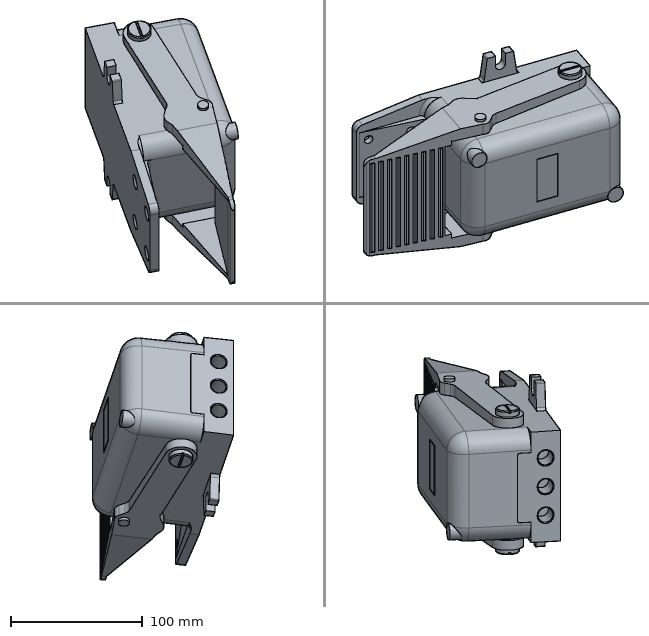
import cadquery as cq
import math


BODY_LENGTH = 133.8
BODY_HEIGHT = 85.0
BODY_END_SETBACK = 0.2
HALF_WIDTH_BOTTOM = 43.9
HALF_WIDTH_TOP = 43.0
CORNER_RADIUS = 14.0
BASE_HEIGHT = 22.9
BASE_LENGTH = BODY_LENGTH - CORNER_RADIUS
TOP_PAD_LENGTH = 17.5
TOP_PAD_WIDTH = 39.0
TOP_PAD_CENTER_X = 67.2
TOP_PAD_HEIGHT = 0.5

PATCH_TOP = 33.2
PATCH_HALF_WIDTH = 27.5
PATCH_CORNER_RADIUS = 1.7
PORT_DIAMETER = 11.5
PORT_RIM_DIAMETER = 13.0
PORT_DEPTH = 16.8
PORT_HEIGHT = 11.5
PORT_PITCH = 22.7

BOSS_DIAMETER = 13.0
BOSS_INSET_X = 9.2
BOSS_OFFSET_Z = 33.8
BOSS_BOTTOM = 67.2

PLATE_THICKNESS = 7.1
TAIL_END_X = 190.0
TAIL_END_HALF_WIDTH = 35.7
TAIL_CORNER_RADIUS = 6.3
RAMP_START_HEIGHT = 12.8
RAMP_END_X = 187.5
RAMP_HALF_WIDTH = HALF_WIDTH_BOTTOM - CORNER_RADIUS
FOOT_FILLET = 3.0
TAIL_HOLE_XS = (146.0, 180.0)
TAIL_HOLE_Z = 21.8
TAIL_HOLE_DIAMETER = 6.7
TAIL_SINK_DIAMETER = 11.5

EAR_CENTER_X = 68.0
EAR_TIP_Z = 65.0
EAR_ROOT_Z = 43.7
EAR_ROOT_HALF_LENGTH = 14.0
EAR_FOOT_HALF_LENGTH = 21
EAR_TIP_HALF_LENGTH = 11.1
EAR_ROOT_FILLET = 2.7
EAR_TIP_FILLET = 0.8
SLOT_WIDTH = 8.5
SLOT_BOTTOM_Z = 51.7

HANDLE_TIP_X = 210
PIVOT_X = 23.5
PIVOT_Y = 36.1
PIVOT_RADIUS = 12.2
ARM_ANGLE = math.radians(9.3)
ARM_INNER_Z = 44.5
ARM_OUTER_Z_PIVOT = 52.0
ARM_OUTER_Z_BEND = 54.4
BEND_X = 132.0
TAPER_END_X = 200.8
UPPER_RUN_END_X = 98.5
LOWER_RUN_END_X = 102.0
COVER_POINT_X = 131.2
COVER_POINT_Y = 68.0
COVER_SLOPE = -0.086
TIP_TOP_START_X = 205.8
TIP_BOTTOM_Y = 58.2
TIP_BOTTOM_START_X = 200.3
TIP_CORNER_RADIUS = 6.3
COVER_START_X = 144.5
COVER_THICKNESS = 3.8
COVER_UNDERSIDE_END_X = 201.4
WALL_START_X = 139.2
WALL_INNER_Z = 41.0

RIDGE_COUNT = 9
RIDGE_START_X = 146.5
RIDGE_PITCH = 7.0
RIDGE_LENGTH = 3.4
RIDGE_CREST_LENGTH = 2
RIDGE_HEIGHT = 0.8

SCREW_DIAMETER = 18.0
SCREW_TOP_Z = 57.0
SCREW_CHAMFER = 0.8
SCREW_SLOT_WIDTH = 1.5
SCREW_SLOT_DEPTH = 1.7
PIN_X = 112.5
PIN_Y = 62.4
PIN_DIAMETER = 8.5
PIN_TOP_Z = 56.3
PIN_COLLAR_DIAMETER = 9.5
ANCHOR_Z = 42


def cover_y(x):
    """Height of the sloping cover surface at x."""
    return COVER_POINT_Y + COVER_SLOPE * (x - COVER_POINT_X)


def plan(workplane_y=0):
    """Workplane with local coordinates (X, Z); its normal points toward -Y."""
    return cq.Workplane(cq.Plane((0, workplane_y, 0), xDir=(1, 0, 0), normal=(0, -1, 0)))


def extrude_up(sketch, height):
    """Extrude a plan sketch toward +Y."""
    return sketch.extrude(-height)


def box(x0, x1, y0, y1, half_z):
    size = (x1 - x0, y1 - y0, 2 * half_z)
    return cq.Workplane("XY").box(*size, centered=(False, False, True)).translate((x0, y0, 0))


def both_sides(solid):
    return solid.union(solid.mirror("XY"))


def drafted_block(x0, x1, height):
    """Block along X whose sides lean in slightly toward the top."""
    lean = (HALF_WIDTH_BOTTOM - HALF_WIDTH_TOP) / BODY_HEIGHT
    top_half = HALF_WIDTH_BOTTOM - lean * height
    outline = [
        (0, HALF_WIDTH_BOTTOM),
        (height, top_half),
        (height, -top_half),
        (0, -HALF_WIDTH_BOTTOM),
    ]
    end_plane = cq.Plane((x0, 0, 0), xDir=(0, 1, 0), normal=(1, 0, 0))
    return cq.Workplane(end_plane).polyline(outline).close().extrude(x1 - x0)


def make_body():
    shell = drafted_block(BODY_END_SETBACK, BODY_LENGTH, BODY_HEIGHT)
    corners = shell.edges(">Y or (not (|X or |Z))")
    shell = corners.fillet(CORNER_RADIUS)
    base = drafted_block(0, BASE_LENGTH, BASE_HEIGHT)
    pad = box(
        TOP_PAD_CENTER_X - TOP_PAD_LENGTH / 2,
        TOP_PAD_CENTER_X + TOP_PAD_LENGTH / 2,
        BODY_HEIGHT - 2,
        BODY_HEIGHT + TOP_PAD_HEIGHT,
        TOP_PAD_WIDTH / 2,
    )
    patch = box(0, 2, BASE_HEIGHT - 2, PATCH_TOP, PATCH_HALF_WIDTH)
    patch = patch.edges("|X and >Y").fillet(PATCH_CORNER_RADIUS)
    return shell.union(base).union(pad).union(patch)


def make_bosses():
    """Two screw bosses at diagonally opposite corners of the body."""
    centers = [
        (BOSS_INSET_X, -BOSS_OFFSET_Z),
        (BODY_LENGTH - BOSS_INSET_X, BOSS_OFFSET_Z),
    ]
    sketch = plan(BOSS_BOTTOM).pushPoints(centers).circle(BOSS_DIAMETER / 2)
    return extrude_up(sketch, BODY_HEIGHT - BOSS_BOTTOM)


def make_tail():
    half_outline = [
        (0, HALF_WIDTH_BOTTOM),
        (BODY_LENGTH, HALF_WIDTH_BOTTOM),
        (TAIL_END_X, TAIL_END_HALF_WIDTH),
    ]
    mirrored = [(x, -z) for x, z in reversed(half_outline)]
    plate = extrude_up(plan().polyline(half_outline + mirrored).close(), PLATE_THICKNESS)
    plate = plate.edges("|Y and >X").fillet(TAIL_CORNER_RADIUS)
    return plate.intersect(drafted_block(0, TAIL_END_X, PLATE_THICKNESS))


def make_ramp():
    """Sloping rib on the tail plate, with a fillet where it meets the body."""
    slope = (RAMP_START_HEIGHT - PLATE_THICKNESS) / (BODY_LENGTH - RAMP_END_X)
    fillet_end_x = BODY_LENGTH + FOOT_FILLET
    fillet_end_y = RAMP_START_HEIGHT + slope * FOOT_FILLET
    ramp = (
        cq.Workplane("XY", origin=(0, 0, -RAMP_HALF_WIDTH))
        .moveTo(BODY_LENGTH - 2, 0)
        .lineTo(RAMP_END_X, 0)
        .lineTo(RAMP_END_X, PLATE_THICKNESS)
        .lineTo(fillet_end_x, fillet_end_y)
        .radiusArc((BODY_LENGTH, RAMP_START_HEIGHT + FOOT_FILLET), FOOT_FILLET)
        .lineTo(BODY_LENGTH - 2, RAMP_START_HEIGHT + FOOT_FILLET)
        .close()
        .extrude(2 * RAMP_HALF_WIDTH)
    )
    return ramp


def make_ear():
    """One ear on the +Z side, tapering outward, with an open slot."""
    outline = [
        (EAR_CENTER_X - EAR_FOOT_HALF_LENGTH, EAR_ROOT_Z - 4.2),
        (EAR_CENTER_X - EAR_FOOT_HALF_LENGTH, EAR_ROOT_Z),
        (EAR_CENTER_X - EAR_ROOT_HALF_LENGTH, EAR_ROOT_Z),
        (EAR_CENTER_X - EAR_TIP_HALF_LENGTH, EAR_TIP_Z),
        (EAR_CENTER_X + EAR_TIP_HALF_LENGTH, EAR_TIP_Z),
        (EAR_CENTER_X + EAR_ROOT_HALF_LENGTH, EAR_ROOT_Z),
        (EAR_CENTER_X + EAR_FOOT_HALF_LENGTH, EAR_ROOT_Z),
        (EAR_CENTER_X + EAR_FOOT_HALF_LENGTH, EAR_ROOT_Z - 4.2),
    ]
    ear = extrude_up(plan().polyline(outline).close(), PLATE_THICKNESS)
    for end in (-1, 1):
        root = (EAR_CENTER_X + end * EAR_ROOT_HALF_LENGTH, PLATE_THICKNESS / 2, EAR_ROOT_Z)
        ear = ear.edges(cq.selectors.NearestToPointSelector(root)).fillet(EAR_ROOT_FILLET)
    ear = ear.edges("|Y and >Z").fillet(EAR_TIP_FILLET)
    slot_length = 2 * (EAR_TIP_Z - SLOT_BOTTOM_Z)
    slot = plan().center(EAR_CENTER_X, EAR_TIP_Z).slot2D(slot_length, SLOT_WIDTH, 90)
    return ear.cut(extrude_up(slot, PLATE_THICKNESS))


def make_corner_foot():
    """Quarter-ring fillet between the body's right corner on the +Z side and the tail plate."""
    ring_radius = CORNER_RADIUS + FOOT_FILLET
    foot = (
        cq.Workplane("XY")
        .moveTo(CORNER_RADIUS - FOOT_FILLET, 0)
        .lineTo(ring_radius, 0)
        .lineTo(ring_radius, PLATE_THICKNESS)
        .radiusArc((CORNER_RADIUS, PLATE_THICKNESS + FOOT_FILLET), FOOT_FILLET)
        .lineTo(CORNER_RADIUS - FOOT_FILLET, PLATE_THICKNESS + FOOT_FILLET)
        .close()
        .revolve(90, (0, 0, 0), (0, -1, 0))
        .translate((BASE_LENGTH, 0, RAMP_HALF_WIDTH))
    )
    return foot.intersect(drafted_block(0, TAIL_END_X, BODY_HEIGHT))


def make_handle_profile():
    """Side outline of the handle, extruded over its whole width."""
    rise = math.tan(ARM_ANGLE)
    tangent_dx = PIVOT_RADIUS * math.sin(ARM_ANGLE)
    tangent_dy = PIVOT_RADIUS * math.cos(ARM_ANGLE)
    upper_start = (PIVOT_X - tangent_dx, PIVOT_Y + tangent_dy)
    lower_start = (PIVOT_X + tangent_dx, PIVOT_Y - tangent_dy)
    pivot_far = (
        PIVOT_X - PIVOT_RADIUS * math.cos(ARM_ANGLE),
        PIVOT_Y - PIVOT_RADIUS * math.sin(ARM_ANGLE),
    )
    upper_end = (UPPER_RUN_END_X, upper_start[1] + rise * (UPPER_RUN_END_X - upper_start[0]))
    lower_end = (LOWER_RUN_END_X, lower_start[1] + rise * (LOWER_RUN_END_X - lower_start[0]))
    tip_top_y = cover_y(TIP_TOP_START_X)
    tip_round = (tip_top_y - TIP_BOTTOM_Y) / 2
    round_start_x = HANDLE_TIP_X - tip_round
    return (
        cq.Workplane("XY", origin=(0, 0, -ARM_OUTER_Z_BEND))
        .moveTo(*upper_start)
        .lineTo(*upper_end)
        .tangentArcPoint((103.1, 63.5), relative=False)
        .lineTo(106.7, 67.5)
        .threePointArc((110.2, 69.7), (113.8, cover_y(113.8)))
        .lineTo(TIP_TOP_START_X, tip_top_y)
        .lineTo(round_start_x, tip_top_y)
        .threePointArc((HANDLE_TIP_X, tip_top_y - tip_round), (round_start_x, TIP_BOTTOM_Y))
        .lineTo(TIP_BOTTOM_START_X, TIP_BOTTOM_Y)
        .lineTo(125.5, 34.9)
        .lineTo(120.8, 32.0)
        .threePointArc((116.3, 30.9), (112.1, 32.0))
        .lineTo(103.5, 36.3)
        .lineTo(*lower_end)
        .lineTo(*lower_start)
        .threePointArc(pivot_far, upper_start)
        .close()
        .extrude(2 * ARM_OUTER_Z_BEND)
    )


def make_handle_plan():
    """Plan outline of the handle: two arms joined by a tapering front."""
    height = BODY_HEIGHT
    half_outline = [
        (PIVOT_X - PIVOT_RADIUS - 2, ARM_OUTER_Z_PIVOT),
        (BEND_X, ARM_OUTER_Z_BEND),
        (TAPER_END_X, ARM_INNER_Z),
        (HANDLE_TIP_X, ARM_INNER_Z),
    ]
    mirrored = [(x, -z) for x, z in reversed(half_outline)]
    outer = extrude_up(plan().polyline(half_outline + mirrored).close(), height)
    outer = outer.edges("|Y and >X").fillet(TIP_CORNER_RADIUS)
    arm_gap = box(0, WALL_START_X, 0, height, ARM_INNER_Z)
    wall_gap = box(0, COVER_START_X, 0, height, WALL_INNER_Z)
    return outer.cut(arm_gap).cut(wall_gap)


def make_cover_cavity():
    """Space between the side walls, below the cover."""
    outline = [
        (COVER_START_X, 0),
        (COVER_START_X, cover_y(COVER_START_X) - COVER_THICKNESS),
        (COVER_UNDERSIDE_END_X, TIP_BOTTOM_Y),
        (COVER_UNDERSIDE_END_X, 0),
    ]
    start = cq.Workplane("XY", origin=(0, 0, -WALL_INNER_Z))
    return start.polyline(outline).close().extrude(2 * WALL_INNER_Z)


def make_ridges():
    """Row of grip ridges, each steep on the left and sloping on the right."""
    ridges = cq.Workplane("XY")
    for index in range(RIDGE_COUNT):
        start_x = RIDGE_START_X + index * RIDGE_PITCH
        crest_x = start_x + RIDGE_CREST_LENGTH
        end_x = start_x + RIDGE_LENGTH
        outline = [
            (start_x, cover_y(start_x) - RIDGE_HEIGHT),
            (start_x, cover_y(start_x) + RIDGE_HEIGHT),
            (crest_x, cover_y(crest_x) + RIDGE_HEIGHT),
            (end_x, cover_y(end_x)),
            (end_x, cover_y(end_x) - RIDGE_HEIGHT),
        ]
        start = cq.Workplane("XY", origin=(0, 0, -WALL_INNER_Z))
        ridges = ridges.union(start.polyline(outline).close().extrude(2 * WALL_INNER_Z))
    return ridges


def make_handle():
    handle = make_handle_profile().intersect(make_handle_plan())
    return handle.cut(make_cover_cavity()).union(make_ridges())


def cylinder_z(x, y, diameter, z0, z1):
    base = cq.Workplane("XY", origin=(x, y, z0))
    return base.circle(diameter / 2).extrude(z1 - z0)


def make_screw():
    """Slotted pivot screw on the +Z side."""
    screw = cylinder_z(PIVOT_X, PIVOT_Y, SCREW_DIAMETER, ANCHOR_Z, SCREW_TOP_Z)
    screw = screw.faces(">Z").chamfer(SCREW_CHAMFER)
    slot = cq.Workplane("XY", origin=(PIVOT_X, PIVOT_Y, SCREW_TOP_Z))
    slot = slot.rect(SCREW_DIAMETER, SCREW_SLOT_WIDTH).extrude(-SCREW_SLOT_DEPTH)
    return screw.cut(slot)


def make_pin():
    """Hinge pin on the +Z side, with a collar between body and arm."""
    pin = cylinder_z(PIN_X, PIN_Y, PIN_DIAMETER, ANCHOR_Z, PIN_TOP_Z)
    collar = cylinder_z(PIN_X, PIN_Y, PIN_COLLAR_DIAMETER, ANCHOR_Z, ARM_INNER_Z)
    return pin.union(collar)


def cut_tail_holes(part):
    """Countersunk holes through the tail, opening at the bottom face."""
    sink_depth = (TAIL_SINK_DIAMETER - TAIL_HOLE_DIAMETER) / 2
    points = [(x, side * TAIL_HOLE_Z) for x in TAIL_HOLE_XS for side in (-1, 1)]
    holes = extrude_up(plan().pushPoints(points).circle(TAIL_HOLE_DIAMETER / 2), RAMP_START_HEIGHT)
    for x, z in points:
        cone = cq.Solid.makeCone(
            TAIL_SINK_DIAMETER / 2,
            TAIL_HOLE_DIAMETER / 2,
            sink_depth,
            pnt=cq.Vector(x, 0, z),
            dir=cq.Vector(0, 1, 0),
        )
        holes = holes.union(cq.Workplane(cone))
    return part.cut(holes)


def cut_ports(part):
    """Row of chamfered blind ports in the left end."""
    rim = (PORT_RIM_DIAMETER - PORT_DIAMETER) / 2
    for row in (-1, 0, 1):
        face = cq.Workplane("YZ", origin=(0, PORT_HEIGHT, row * PORT_PITCH))
        bore = face.circle(PORT_DIAMETER / 2).extrude(PORT_DEPTH)
        cone = cq.Solid.makeCone(
            PORT_RIM_DIAMETER / 2,
            PORT_DIAMETER / 2,
            rim,
            pnt=cq.Vector(0, PORT_HEIGHT, row * PORT_PITCH),
            dir=cq.Vector(1, 0, 0),
        )
        part = part.cut(bore).cut(cq.Workplane(cone))
    return part


result = make_body().union(make_tail())
result = result.union(both_sides(make_ear()))
result = result.union(both_sides(make_corner_foot())).union(make_ramp()).union(make_bosses())
result = cut_tail_holes(cut_ports(result))
result = result.union(make_handle())
result = result.union(both_sides(make_screw())).union(both_sides(make_pin()))